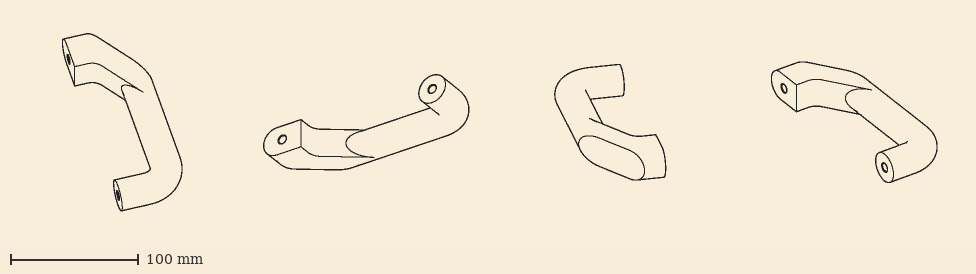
import cadquery as cq
import math

length = 170.0
height = 57.0
width = 25.0
foot_length = 35.0
slope_angle = 35.0
slope_top_x = 57.0
inner_slope_end_x = 74.1
foot_fillet = 12.0
bend_radius = 20.4
hole_diameter = 6.8
hole_mouth_diameter = 8.0
hole_depth = 15.3
drill_point_angle = 118.0

bar_radius = width / 2
bar_axis_y = height - bar_radius
leg_axis_x = length - bar_radius
foot_hole_x = foot_length / 2
slope = math.tan(math.radians(slope_angle))


def outer_slope_y(x):
    return height - (slope_top_x - x) * slope


def inner_slope_y(x):
    return bar_axis_y - (inner_slope_end_x - x) * slope


def make_foot_and_arm():
    """Flat-sided foot and sloping arm, with a round outer end on the foot."""
    arm_top_x = slope_top_x - bar_radius / slope
    profile = (
        cq.Workplane("XY")
        .moveTo(0, 0)
        .lineTo(foot_length, 0)
        .lineTo(foot_length, inner_slope_y(foot_length))
        .lineTo(inner_slope_end_x, bar_axis_y)
        .lineTo(arm_top_x, bar_axis_y)
        .lineTo(0, outer_slope_y(0))
        .close()
        .extrude(bar_radius, both=True)
    )
    inner_corner = cq.selectors.NearestToPointSelector((foot_length, inner_slope_y(foot_length), 0))
    arm = profile.edges("|Z").edges(inner_corner).fillet(foot_fillet)
    rounded_end = (
        cq.Workplane("XZ")
        .moveTo(inner_slope_end_x, -bar_radius)
        .lineTo(bar_radius, -bar_radius)
        .threePointArc((0, 0), (bar_radius, bar_radius))
        .lineTo(inner_slope_end_x, bar_radius)
        .close()
        .extrude(-height)
    )
    return arm.intersect(rounded_end)


def make_round_bar():
    """Round bar cut by the outer slope, bent down into the straight leg."""
    start_x = slope_top_x - width / slope
    bend_start_x = leg_axis_x - bend_radius
    bend_end_y = bar_axis_y - bend_radius
    straight = (
        cq.Workplane("YZ", origin=(start_x, bar_axis_y, 0))
        .circle(bar_radius)
        .extrude(bend_start_x - start_x)
    )
    under_slope = (
        cq.Workplane("XY")
        .moveTo(start_x, height - width)
        .lineTo(slope_top_x, height)
        .lineTo(bend_start_x, height)
        .lineTo(bend_start_x, height - width)
        .close()
        .extrude(bar_radius, both=True)
    )
    bend = (
        cq.Workplane("XZ", origin=(leg_axis_x, bend_end_y, 0))
        .circle(bar_radius)
        .revolve(90, (-bend_radius, 0, 0), (-bend_radius, 1, 0))
    )
    leg = cq.Workplane("XZ", origin=(leg_axis_x, 0, 0)).circle(bar_radius).extrude(-bend_end_y)
    return straight.intersect(under_slope).union(bend).union(leg)


def make_hole(x):
    """Blind screw hole with a chamfered mouth and a conical drill point."""
    radius = hole_diameter / 2
    mouth_radius = hole_mouth_diameter / 2
    point_depth = radius / math.tan(math.radians(drill_point_angle / 2))
    return (
        cq.Workplane("XY")
        .moveTo(x, 0)
        .lineTo(x + mouth_radius, 0)
        .lineTo(x + radius, mouth_radius - radius)
        .lineTo(x + radius, hole_depth)
        .lineTo(x, hole_depth + point_depth)
        .close()
        .revolve(360, (x, 0, 0), (x, 1, 0))
    )


result = make_foot_and_arm().union(make_round_bar())
for hole_x in (foot_hole_x, leg_axis_x):
    result = result.cut(make_hole(hole_x))